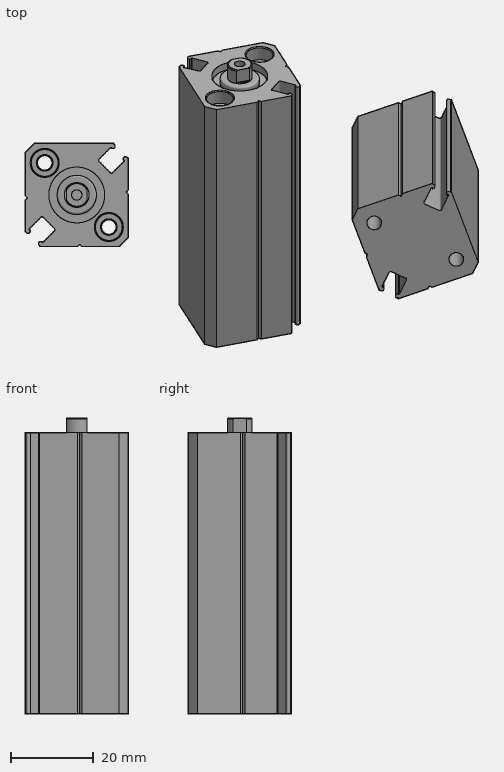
import cadquery as cq
import math

width = 25.0
half_width = width / 2
housing_height = 68.0
corner_chamfer = 2.25

slot_floor_distance = 9.55
slot_half_width = 2.3
slot_floor_fillet = 0.4
lip_thickness = 1.05
lip_end = 8.95
bead_radius = 0.5
bead_inset = 0.25
bead_reach = 9.3
heel_depth = 1.3
heel_back = 8.45

groove_turns = (0, 90, 270)
groove_offset = 0.7
groove_depth = 0.55

mount_pitch = 15.5
mount_hole_diameter = 3.5
counterbore_diameter = 6.5
counterbore_depth = 3.6
mount_edge_chamfer = 0.25

recess_diameter = 13.5
recess_depth = 2.0
collar_diameter = 9.5
collar_drop = 0.3
collar_fillet = 0.5

rod_diameter = 6.0
rod_protrusion = 3.5
rod_top = housing_height + rod_protrusion
rod_seat = housing_height - recess_depth
rod_tip_chamfer = 0.25
flats_width = 5.0
flats_length = 3.5
thread_hole_diameter = 2.5
thread_hole_depth = 4.0


def sensor_slot():
    """Slot in the +X +Y corner, symmetric about the diagonal and undercut behind two beaded lips."""
    diagonal = math.sqrt(0.5)
    floor_end = (
        (slot_floor_distance - slot_half_width) * diagonal,
        (slot_floor_distance + slot_half_width) * diagonal,
    )
    lip_inner = half_width - lip_thickness
    lip_root = (lip_inner - slot_half_width / diagonal, lip_inner)
    heel_inner = half_width - heel_depth

    bead_x = bead_reach - bead_radius
    bead_y = half_width - bead_inset - bead_radius
    nose_inner = (bead_x + bead_radius * diagonal, bead_y - bead_radius * diagonal)
    nose_tip = (bead_reach, bead_y)
    nose_outer = (lip_end, bead_y + math.sqrt(bead_radius**2 - (lip_end - bead_x) ** 2))
    heel_front = (nose_inner[0] - (nose_inner[1] - heel_inner), heel_inner)
    outside = (lip_end, width)

    def swapped(point):
        return point[1], point[0]

    wall_side = [lip_root, (heel_back, lip_inner), (heel_back, heel_inner), heel_front, nose_inner]
    return (
        cq.Workplane("XY")
        .polyline([swapped(floor_end), floor_end, *wall_side])
        .threePointArc(nose_tip, nose_outer)
        .lineTo(*outside)
        .lineTo(width, width)
        .lineTo(*swapped(outside))
        .lineTo(*swapped(nose_outer))
        .threePointArc(swapped(nose_tip), swapped(nose_inner))
        .polyline([swapped(point) for point in reversed(wall_side[:-1])], includeCurrent=True)
        .close()
        .extrude(housing_height)
        .edges("|Z and (<X or <Y)")
        .fillet(slot_floor_fillet)
    )


def side_groove():
    """V groove along the -Y side."""
    return (
        cq.Workplane("XY")
        .moveTo(groove_offset - groove_depth, -half_width)
        .lineTo(groove_offset, groove_depth - half_width)
        .lineTo(groove_offset + groove_depth, -half_width)
        .close()
        .extrude(housing_height)
    )


def mount_hole():
    """Counterbored through hole on the Z axis, with a small chamfer at both mouths."""
    hole_radius = mount_hole_diameter / 2
    bore_radius = counterbore_diameter / 2
    bore_floor = housing_height - counterbore_depth
    return (
        cq.Workplane("XZ")
        .moveTo(0, 0)
        .lineTo(hole_radius, 0)
        .lineTo(hole_radius, bore_floor - mount_edge_chamfer)
        .lineTo(hole_radius + mount_edge_chamfer, bore_floor)
        .lineTo(bore_radius, bore_floor)
        .lineTo(bore_radius, housing_height - mount_edge_chamfer)
        .lineTo(bore_radius + mount_edge_chamfer, housing_height)
        .lineTo(0, housing_height)
        .close()
        .revolve(360, (0, 0, 0), (0, 1, 0))
    )


def collar_recess():
    """Round recess in the top face with the round-edged collar left standing in it."""
    recess = (
        cq.Workplane("XY", origin=(0, 0, housing_height - recess_depth))
        .circle(recess_diameter / 2)
        .extrude(recess_depth)
    )
    collar = (
        cq.Workplane("XY", origin=(0, 0, housing_height - recess_depth))
        .circle(collar_diameter / 2)
        .extrude(recess_depth - collar_drop)
        .faces(">Z").fillet(collar_fillet)
    )
    return recess.cut(collar)


def make_housing():
    housing = (
        cq.Workplane("XY")
        .rect(width, width)
        .extrude(housing_height)
        .edges("|Z and ((<X and >Y) or (>X and <Y))")
        .chamfer(corner_chamfer)
    )
    for turn in (0, 180):
        housing = housing.cut(sensor_slot().rotate((0, 0, 0), (0, 0, 1), turn))

    for turn in groove_turns:
        housing = housing.cut(side_groove().rotate((0, 0, 0), (0, 0, 1), turn))

    for side in (-1, 1):
        offset = side * mount_pitch / 2
        housing = housing.cut(mount_hole().translate((offset, -offset, 0)))

    rod_socket = (
        cq.Workplane("XY", origin=(0, 0, rod_seat))
        .circle(rod_diameter / 2)
        .extrude(rod_top - rod_seat)
    )
    return housing.cut(collar_recess()).cut(rod_socket)


def make_rod():
    rod = (
        cq.Workplane("XY", origin=(0, 0, rod_seat))
        .circle(rod_diameter / 2)
        .extrude(rod_top - rod_seat)
        .faces(">Z").chamfer(rod_tip_chamfer)
    )
    flats = (
        cq.Workplane("XY", origin=(0, 0, rod_top - flats_length))
        .rect(2 * rod_diameter, 2 * rod_diameter)
        .rect(flats_width, 2 * rod_diameter)
        .extrude(flats_length)
    )
    thread_hole = (
        cq.Workplane("XY", origin=(0, 0, rod_top - thread_hole_depth))
        .circle(thread_hole_diameter / 2)
        .extrude(thread_hole_depth)
    )
    return rod.cut(flats).cut(thread_hole)


housing = make_housing()
rod = make_rod()
result = cq.Compound.makeCompound([housing.val(), rod.val()])